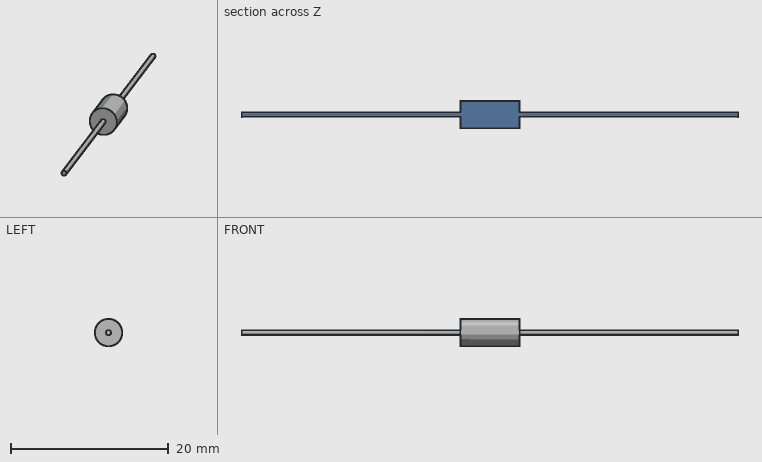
import cadquery as cq

overall_length = 63.0
body_length = 7.5
body_diameter = 3.5
lead_diameter = 0.65


def centred_cylinder(diameter, length):
    """Solid cylinder along X, centred on the origin."""
    end_plane = cq.Workplane("YZ", origin=(-length / 2, 0, 0))
    return end_plane.circle(diameter / 2).extrude(length)


body = centred_cylinder(body_diameter, body_length)

leads = centred_cylinder(lead_diameter, overall_length)

result = body.union(leads)